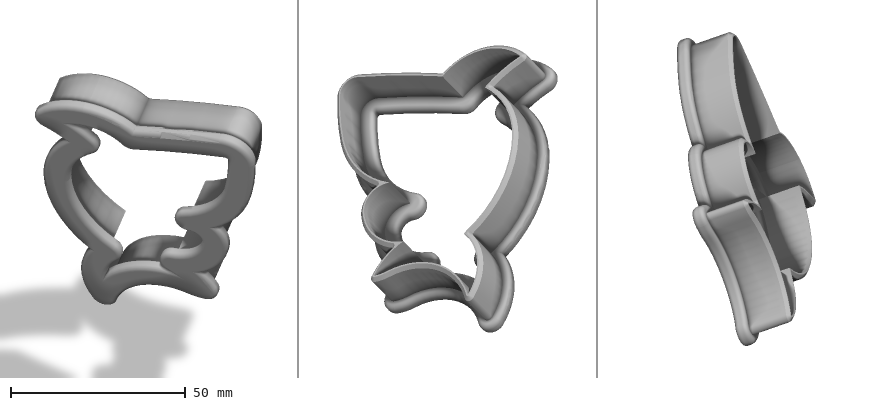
import cadquery as cq
import math

total_depth = 16.2
flange_depth = 3.8
flange_half_width = 3.9
flange_rounding = 1.3
wall_thickness = 1.5
tip_chamfer = 1.0
chamfer_angle = 45
smooth_angle = 0.01
point_tolerance = 0.0001

fish_outline = (
    cq.Workplane("XZ")
    .moveTo(-29.1, 33.6)
    .threePointArc((-24.4, 37.35), (-17.8, 39.4))
    .tangentArcPoint((-3.8, 34.5), relative=False)
    .threePointArc((9.9, 39.1), (24.0, 43.0))
    .tangentArcPoint((29.6, 38.8), relative=False)
    .tangentArcPoint((28.4, 23.0), relative=False)
    .tangentArcPoint((13.4, 3.6), relative=False)
    .threePointArc((19.6, 1.6), (21.8, -4.0))
    .tangentArcPoint((9.0, -17.9), relative=False)
    .threePointArc((14.7, -21.8), (18.6, -26.7))
    .threePointArc((16.6, -26.8), (14.6, -26.6))
    .tangentArcPoint((-10.9, -39.4), relative=False)
    .tangentArcPoint((-12.0, -42.9), relative=False)
    .threePointArc((-15.0, -33.8), (-10.7, -21.4))
    .threePointArc((-22.3, -8.7), (-26.5, 7.0))
    .tangentArcPoint((-17.55, 26.5), relative=False)
    .threePointArc((-23.5, 30.9), (-29.1, 33.6))
    .close()
    .val()
)


def outline_workplane():
    """Workplane holding the fish outline, ready to offset or extrude."""
    return cq.Workplane("XZ").newObject([fish_outline]).toPending()


def flange_plane(point, direction):
    """Plane across the flange at a point of the outline; its local x runs along Y."""
    return cq.Plane(origin=point, xDir=(0, 1, 0), normal=direction)


def flange_section():
    """Full cross-section of the flange: a rounded rectangle centred on the outline."""
    return cq.Sketch().rect(flange_depth, 2 * flange_half_width).vertices().fillet(flange_rounding).reset()


def place_section(plane, section):
    """Put a section on a plane with its front edge on the front face of the part."""
    return cq.Workplane(plane).placeSketch(section.moved(cq.Location(cq.Vector(flange_depth / 2, 0, 0))))


def flange_stretch(path):
    """Flange along one stretch of the outline."""
    plane = flange_plane(path.startPoint(), path.tangentAt(0))
    return place_section(plane, flange_section()).sweep(cq.Workplane(path))


def flange_corner(point, incoming, outgoing):
    """Round cap filling the outside of a corner between two flange stretches."""
    turn = math.degrees(incoming.getAngle(outgoing))
    side = math.copysign(1, incoming.cross(outgoing).y)
    outer_half = (
        flange_section()
        .push([(0, -side * flange_half_width)])
        .rect(2 * flange_depth, 2 * flange_half_width, mode="s")
    )
    cap = place_section(flange_plane(point, incoming), outer_half)
    return cap.revolve(turn, (0, 0, 0), (side, 0, 0))


def make_flange():
    """Flat rounded ring astride the outline, with round caps at the corners."""
    stretches = list(fish_outline)
    flange = flange_stretch(stretches[0])
    for path in stretches:
        flange = flange.union(flange_stretch(path))
        corner = path.endPoint()
        following = next(s for s in stretches if (s.startPoint() - corner).Length < point_tolerance)
        incoming = path.tangentAt(1)
        outgoing = following.tangentAt(0)
        if incoming.getAngle(outgoing) > smooth_angle:
            flange = flange.union(flange_corner(corner, incoming, outgoing))
    return flange


def make_wall():
    """Thin ring outside the outline, as deep as the part, bevelled around its rear edge."""
    straight_depth = total_depth - tip_chamfer
    straight = outline_workplane().offset2D(wall_thickness).extrude(-straight_depth)
    bevel = outline_workplane().offset2D(wall_thickness).extrude(-tip_chamfer, taper=chamfer_angle)
    outer = straight.union(bevel.translate((0, straight_depth, 0)))
    return outer.cut(outline_workplane().extrude(-total_depth))


result = make_flange().union(make_wall())